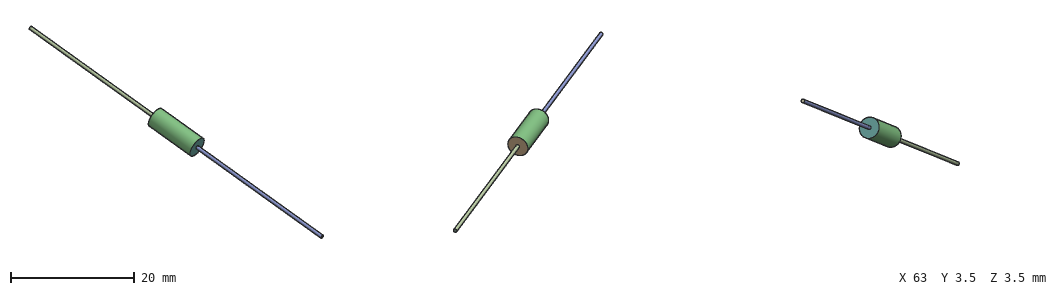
import cadquery as cq

total_length = 63.0
body_length = 9.0
body_diameter = 3.5
lead_diameter = 0.6


def centred_rod(length, diameter):
    """Solid cylinder along X, centred on the origin."""
    start_plane = cq.Workplane("YZ").workplane(offset=-length / 2)
    return start_plane.circle(diameter / 2).extrude(length)


body = centred_rod(body_length, body_diameter)
leads = centred_rod(total_length, lead_diameter)

result = body.union(leads)